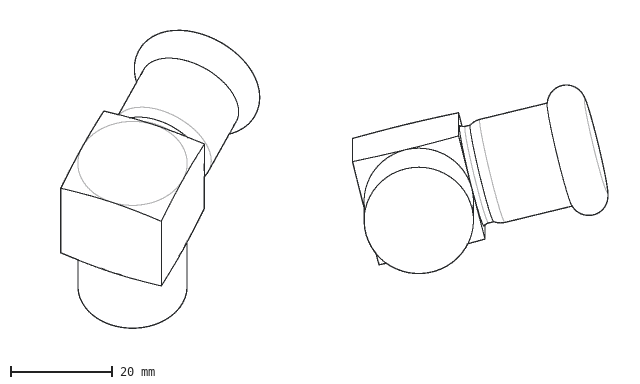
import cadquery as cq
import math

body_side = 21.55
body_half = body_side / 2
corner_drop = 0.85

spigot_bottom = -27.0

overall_length = 46.75
socket_end = overall_length - body_half
bead_outer_radius = 13.15
bead_round = 3.75
sleeve_radius = 10.45
sleeve_round_start = 14.95
neck_radius = 9.8
neck_end = 12.85
neck_start = 11.78
flare_radius = 10.2


def make_body():
    """Cube with its corners turned to shallow cones at top and bottom."""
    cube = cq.Workplane("XY").box(body_side, body_side, body_side)
    corner_radius = body_half * math.sqrt(2)
    corner_height = body_half - corner_drop
    turned_blank = (
        cq.Workplane("XZ")
        .moveTo(0, -body_half)
        .lineTo(body_half, -body_half)
        .lineTo(corner_radius, -corner_height)
        .lineTo(corner_radius, corner_height)
        .lineTo(body_half, body_half)
        .lineTo(0, body_half)
        .close()
        .revolve(360, (0, 0, 0), (0, 1, 0))
    )
    return cube.intersect(turned_blank)


def make_spigot():
    """Plain round spigot, as wide as the body."""
    return cq.Workplane("XY").circle(body_half).extrude(spigot_bottom)


def tangent_arc_middle(tangent_point, end_point):
    """Mid point of an arc that leaves tangent_point parallel to the axis and stops at end_point.

    Points are (radius, distance along the axis).
    """
    rise = end_point[0] - tangent_point[0]
    run = end_point[1] - tangent_point[1]
    arc_radius = (run**2 + rise**2) / (2 * abs(rise))
    half_angle = math.asin(abs(run) / arc_radius) / 2
    return (
        tangent_point[0] + math.copysign(arc_radius * (1 - math.cos(half_angle)), rise),
        tangent_point[1] + math.copysign(arc_radius * math.sin(half_angle), run),
    )


def make_socket():
    """Turned socket: flared neck, rounded sleeve and full-round bead."""
    bead_centre_radius = bead_outer_radius - bead_round
    bead_middle = socket_end - bead_round
    sleeve_overlap = sleeve_radius - bead_centre_radius
    bead_joint = bead_middle - math.sqrt(bead_round**2 - sleeve_overlap**2)
    flare_point = (flare_radius, body_half)
    neck_start_point = (neck_radius, neck_start)
    neck_end_point = (neck_radius, neck_end)
    sleeve_point = (sleeve_radius, sleeve_round_start)
    return (
        cq.Workplane("XY")
        .lineTo(flare_radius, 0)
        .lineTo(*flare_point)
        .threePointArc(tangent_arc_middle(neck_start_point, flare_point), neck_start_point)
        .lineTo(*neck_end_point)
        .threePointArc(tangent_arc_middle(sleeve_point, neck_end_point), sleeve_point)
        .lineTo(sleeve_radius, bead_joint)
        .threePointArc((bead_outer_radius, bead_middle), (bead_centre_radius, socket_end))
        .lineTo(0, socket_end)
        .close()
        .revolve(360, (0, 0, 0), (0, 1, 0))
    )


result = make_body().union(make_spigot()).union(make_socket())